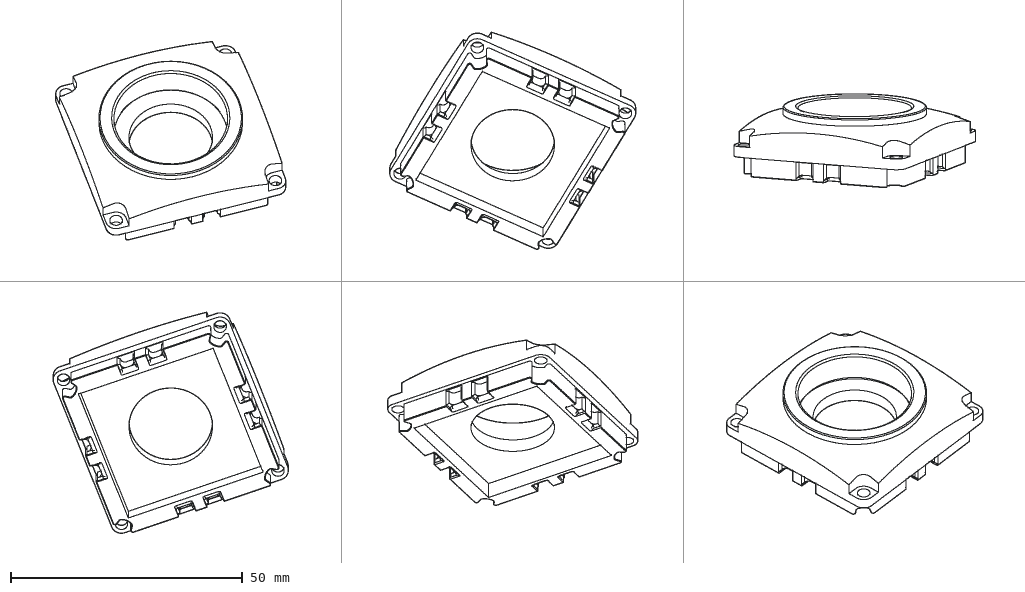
import cadquery as cq
import math

body_side = 40.5
total_height = 13.62

skirt_side = 38.2
skirt_height = 4.35
skirt_bottom_chamfer = 0.15
cavity_side = 31.0

ear_size = 4.5
ear_radius = ear_size / 2
ear_top = 6.7
screw_hole_diameter = 2.7
screw_offset = body_side / 2 - ear_radius

ring_base = 12.0
ring_diameter = 31.0
ring_chamfer = 0.25
dome_radius = 77.0
dome_centre = ring_base - math.sqrt(dome_radius**2 - (ring_diameter / 2) ** 2)

bore_diameter = 24.5
bore_floor = 6.65
bore_mouth_diameter = 25.5
bore_mouth_depth = 0.35
relief_height = 0.8
through_diameter = 18.0
bore_web_thickness = 3.0
cavity_depth = bore_floor - bore_web_thickness

quarter_turns = (0, 90, 180, 270)
slot_floor = 17.4
slot_inner_radius = 1.0
slot_lip_radius = 0.5
slot_width = 3.0
slot_spacing = 6.5
slot_top = 4.05
slot_flare = 1.0
notch_radius = 2.75
notch_neck_width = 3.8
notch_wall_angle = 12.0
notch_lip_radius = 0.5
notch_inner_radius = 0.5


def corners(offset):
    """The four points at +/- offset along X and Y."""
    return [(x, y) for x in (-offset, offset) for y in (-offset, offset)]


def make_notch():
    """Clearance round the -X -Y screw: a circle narrowed by two walls that close inwards."""
    neck = notch_neck_width / 2
    wall_angle = math.radians(notch_wall_angle)
    mouth = neck + notch_radius * math.tan(wall_angle)
    corner_angle = math.pi / 2 - wall_angle - math.acos(neck * math.cos(wall_angle) / notch_radius)
    corner_x = notch_radius * math.cos(corner_angle)
    corner_y = notch_radius * math.sin(corner_angle)
    notch = (
        cq.Workplane("XY")
        .moveTo(-notch_radius, -mouth)
        .lineTo(corner_x, -corner_y)
        .threePointArc((notch_radius, 0), (corner_x, corner_y))
        .lineTo(-notch_radius, mouth)
        .close()
        .extrude(skirt_height)
        .edges("|Z")
        .edges(">X")
        .fillet(notch_inner_radius)
    )
    notch = notch.rotate((0, 0, 0), (0, 0, 1), 45)
    return notch.translate((-screw_offset, -screw_offset, 0))


def is_on_skirt_face(edge):
    centre = edge.Center()
    return math.isclose(max(abs(centre.x), abs(centre.y)), skirt_side / 2, abs_tol=1e-4)


def make_skirt():
    """Square skirt, notched at the corners, with rounded lips and a bevelled bottom."""
    skirt = cq.Workplane("XY").rect(skirt_side, skirt_side).extrude(skirt_height)
    notch = make_notch()
    for angle in quarter_turns:
        skirt = skirt.cut(notch.rotate((0, 0, 0), (0, 0, 1), angle))
    skirt = skirt.edges("|Z").filter(is_on_skirt_face).fillet(notch_lip_radius)
    return skirt.faces("<Z").edges().chamfer(skirt_bottom_chamfer)


def make_body():
    """Square body with round corners, its top trimmed to a sphere."""
    body = (
        cq.Workplane("XY")
        .workplane(offset=skirt_height)
        .rect(body_side, body_side)
        .extrude(total_height - skirt_height)
        .edges("|Z")
        .fillet(ear_radius)
    )
    dome = cq.Workplane("XY").sphere(dome_radius).translate((0, 0, dome_centre))
    return body.intersect(dome)


def make_ear_clearances():
    """Material removed above the ears, rounded concentric with the screw holes."""
    pad = ear_size * 2
    blocks = cq.Workplane("XY").workplane(offset=ear_top)
    blocks = blocks.pushPoints(corners(body_side / 2)).rect(pad, pad).extrude(total_height)
    return blocks.edges("|Z").fillet(ear_radius)


def make_ring():
    """Raised ring, started inside the dome so that the two join."""
    ring = cq.Workplane("XY").workplane(offset=bore_floor).circle(ring_diameter / 2)
    ring = ring.extrude(total_height - bore_floor)
    return ring.faces(">Z").edges().chamfer(ring_chamfer)


def make_bore():
    """Wide bore with a bevelled mouth and a relief groove at its floor, and the hole below it."""
    bore_radius = bore_diameter / 2
    mouth_radius = bore_mouth_diameter / 2
    through_radius = through_diameter / 2
    relief_top = bore_floor + relief_height
    profile = [
        (0, 0),
        (through_radius, 0),
        (through_radius, bore_floor),
        (mouth_radius, bore_floor),
        (mouth_radius, relief_top),
        (bore_radius, relief_top),
        (bore_radius, total_height - bore_mouth_depth),
        (mouth_radius, total_height),
        (0, total_height),
    ]
    return cq.Workplane("XZ").polyline(profile).close().revolve(360, (0, 0, 0), (0, 1, 0))


def make_slot():
    """One slot in the -Y wall at X = 0, with rounded lips and a flared bottom."""
    face = skirt_side / 2
    half = slot_width / 2
    mouth = half + slot_lip_radius
    lip_end = face - slot_lip_radius
    round_start = slot_floor + slot_inner_radius
    flat = half - slot_inner_radius
    slot = (
        cq.Workplane("XY")
        .moveTo(-mouth, -face)
        .radiusArc((-half, -lip_end), slot_lip_radius)
        .lineTo(-half, -round_start)
        .radiusArc((-flat, -slot_floor), slot_inner_radius)
        .lineTo(flat, -slot_floor)
        .radiusArc((half, -round_start), slot_inner_radius)
        .lineTo(half, -lip_end)
        .radiusArc((mouth, -face), slot_lip_radius)
        .close()
        .extrude(slot_top)
    )
    flare_depth = 2 * (body_side / 2 - slot_floor)
    flare = (
        cq.Workplane("XY")
        .workplane(offset=slot_flare)
        .center(0, -body_side / 2)
        .rect(slot_width, flare_depth)
        .extrude(-slot_flare, taper=-45)
    )
    limit = cq.Workplane("XY").rect(2 * mouth, 2 * body_side).extrude(slot_flare)
    return slot.union(flare.intersect(limit))


def cut_slots(skirt):
    """Two slots on each side of the skirt."""
    slot = make_slot()
    for angle in quarter_turns:
        for shift in (-slot_spacing / 2, slot_spacing / 2):
            moved = slot.translate((shift, 0, 0))
            skirt = skirt.cut(moved.rotate((0, 0, 0), (0, 0, 1), angle))
    return skirt


cavity = cq.Workplane("XY").rect(cavity_side, cavity_side).extrude(cavity_depth)
screw_holes = cq.Workplane("XY").pushPoints(corners(screw_offset))
screw_holes = screw_holes.circle(screw_hole_diameter / 2).extrude(total_height)

skirt = cut_slots(make_skirt()).cut(cavity)
body = make_body().cut(make_ear_clearances()).union(make_ring())
result = body.union(skirt).cut(make_bore()).cut(screw_holes)